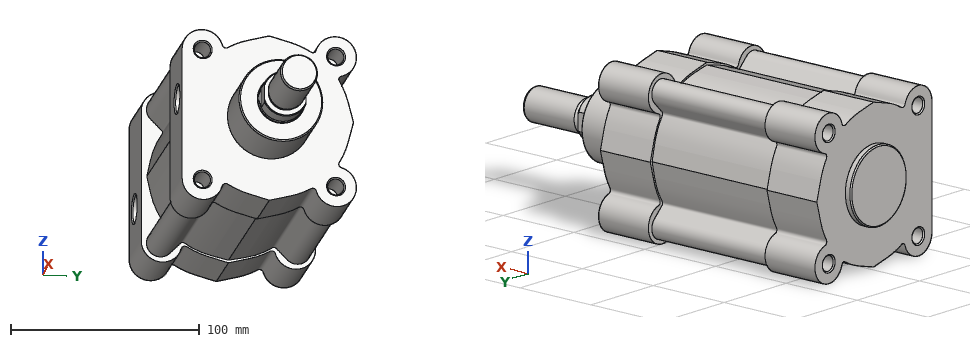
import cadquery as cq
import math

total_length = 243.0
boss_length = 4.0
cover_length = 35.2
barrel_length = 82.4
collar_length = 33.8

rear_cover_start = boss_length
barrel_start = rear_cover_start + cover_length
front_cover_start = barrel_start + barrel_length
collar_start = front_cover_start + cover_length
rod_start = collar_start + collar_length

bolt_offset = 36.0
lug_radius = 11.05
cover_half_width = bolt_offset + lug_radius
cover_core_radius = 44.0
cover_roof_angle = 14.7
cover_fillet = 2.0

boss_radius = 22.5
boss_chamfer = 0.7

bolt_hole_radius = 4.4
bolt_hole_depth = 19.5
bolt_hole_chamfer = 0.7

port_radius = 7.5
port_depth = 19.5
port_chamfer = 0.7
port_inset = 15.0
port_height = 12.5

barrel_core_radius = 43.0
barrel_roof_angle = 12.25
rib_offset = 37.0
rib_radius = 7.3
barrel_fillet = 1.5

ring_radius = 13.0
ring_length = 1.2
ring_taper_length = 1.0
shank_radius = 12.5
shank_end = 203.0
shank_chamfer = 0.5
flat_start = 193.0
flat_half_width = 11.2
neck_radius = 9.2
neck_length = 1.7
neck_taper_length = 2.0
thread_radius = 10.0
tip_chamfer_length = 1.2

corner_signs = [(y_sign, z_sign) for y_sign in (-1, 1) for z_sign in (-1, 1)]


def cross_section(start):
    """Sketch plane across the axis: local x is Y, local y is Z, extruding toward +X."""
    return cq.Workplane("YZ").workplane(offset=start)


def disc(start, length, radius):
    return cross_section(start).circle(radius).extrude(length)


def roofed_core(start, length, radius, roof_angle):
    """Cylinder with a low ridge on each of its four sides, its slopes tangent to the cylinder."""
    ridge = radius / math.cos(math.radians(roof_angle))
    outline = []
    for side_angle in (0, 90, 180, 270):
        for distance, turn in ((radius, -roof_angle), (ridge, 0), (radius, roof_angle)):
            angle = math.radians(side_angle + turn)
            outline.append((distance * math.cos(angle), distance * math.sin(angle)))
    ridges = cross_section(start).polyline(outline).close().extrude(length)
    return disc(start, length, radius).union(ridges)


def fillet_valleys(body, core_radius, fillet_radius):
    """Round the lengthwise inner corners where the lugs or ribs meet the round core."""
    tolerance = 0.02
    diagonal_zone = core_radius / 2

    def is_valley(edge):
        middle = edge.Center()
        on_core = abs(math.hypot(middle.y, middle.z) - core_radius) < tolerance
        return on_core and min(abs(middle.y), abs(middle.z)) > diagonal_zone

    valleys = body.edges("|X").filter(is_valley)
    return valleys.fillet(fillet_radius)


def make_cover_block(start):
    """End cover without holes: roofed core, four lugs and the flat port side."""
    block = roofed_core(start, cover_length, cover_core_radius, cover_roof_angle)
    lug_centers = [(y_sign * bolt_offset, z_sign * bolt_offset) for y_sign, z_sign in corner_signs]
    lugs = cross_section(start).pushPoints(lug_centers).circle(lug_radius).extrude(cover_length)
    port_side = (
        cross_section(start)
        .center(-cover_half_width / 2, 0)
        .rect(cover_half_width, 2 * bolt_offset)
        .extrude(cover_length)
    )
    block = block.union(lugs).union(port_side)
    return fillet_valleys(block, cover_core_radius, cover_fillet)


def chamfered_hole(mouth, direction, radius, depth, chamfer):
    """Blind hole as a cutting solid, with a chamfered mouth."""
    hole = cq.Solid.makeCylinder(radius, depth, mouth, direction)
    countersink = cq.Solid.makeCone(radius + chamfer, radius, chamfer, mouth, direction)
    return cq.Workplane(hole).union(cq.Workplane(countersink))


def cut_bolt_holes(cover, face_x, inward):
    for y_sign, z_sign in corner_signs:
        mouth = cq.Vector(face_x, y_sign * bolt_offset, z_sign * bolt_offset)
        direction = cq.Vector(inward, 0, 0)
        hole = chamfered_hole(mouth, direction, bolt_hole_radius, bolt_hole_depth, bolt_hole_chamfer)
        cover = cover.cut(hole)
    return cover


def cut_port(cover, port_x, port_z):
    mouth = cq.Vector(port_x, -cover_half_width, port_z)
    inward = cq.Vector(0, 1, 0)
    return cover.cut(chamfered_hole(mouth, inward, port_radius, port_depth, port_chamfer))


def make_rear_cover():
    boss = disc(0, boss_length, boss_radius).faces("<X").chamfer(boss_chamfer)
    cover = make_cover_block(rear_cover_start).union(boss)
    cover = cut_bolt_holes(cover, rear_cover_start, 1)
    return cut_port(cover, rear_cover_start + port_inset, -port_height)


def make_front_cover():
    collar = disc(collar_start, collar_length, boss_radius).faces(">X").chamfer(boss_chamfer)
    cover = make_cover_block(front_cover_start).union(collar)
    cover = cut_bolt_holes(cover, collar_start, -1)
    return cut_port(cover, collar_start - port_inset, port_height)


def make_barrel():
    """Roofed core with four round ribs, each on a straight web along its diagonal."""
    barrel = roofed_core(barrel_start, barrel_length, barrel_core_radius, barrel_roof_angle)
    rib_distance = rib_offset * math.sqrt(2)
    for turn in (45, 135, 225, 315):
        web = (
            cross_section(barrel_start)
            .center(rib_distance / 2, 0)
            .rect(rib_distance, 2 * rib_radius)
            .extrude(barrel_length)
        )
        rib = cross_section(barrel_start).center(rib_distance, 0).circle(rib_radius).extrude(barrel_length)
        barrel = barrel.union(web.union(rib).rotate((0, 0, 0), (1, 0, 0), turn))
    return fillet_valleys(barrel, barrel_core_radius, barrel_fillet)


def make_rod():
    """Turned rod end with a guide ring, a shank with two wrench flats, and a relieved thread."""
    ring_end = rod_start + ring_length
    neck_end = shank_end + neck_length
    profile = [
        (rod_start, 0),
        (rod_start, ring_radius),
        (ring_end, ring_radius),
        (ring_end + ring_taper_length, shank_radius),
        (shank_end - shank_chamfer, shank_radius),
        (shank_end, shank_radius - shank_chamfer),
        (shank_end, neck_radius),
        (neck_end, neck_radius),
        (neck_end + neck_taper_length, thread_radius),
        (total_length - tip_chamfer_length, thread_radius),
        (total_length, neck_radius),
        (total_length, 0),
    ]
    rod = cq.Workplane("XY").polyline(profile).close().revolve(360, (0, 0, 0), (1, 0, 0))

    flat_length = shank_end - flat_start
    for side in (-1, 1):
        flat_cut = (
            cross_section(flat_start)
            .center(side * (flat_half_width + shank_radius / 2), 0)
            .rect(shank_radius, 2 * shank_radius)
            .extrude(flat_length)
        )
        rod = rod.cut(flat_cut)
    return rod


rear_cover = make_rear_cover()
barrel = make_barrel()
front_cover = make_front_cover()
rod = make_rod()

result = cq.Compound.makeCompound([rear_cover.val(), barrel.val(), front_cover.val(), rod.val()])